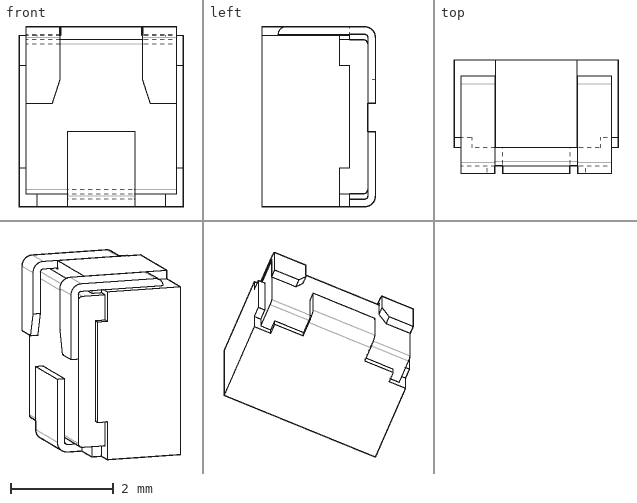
import cadquery as cq

depth = 2.21
height = 3.51

body_width = 3.2
body_top = 3.34
body_front = 0.502
notch_back = 0.702
notch_inner_x = 1.253
lower_notch_top = 0.755
upper_notch_bottom = 2.755
rib_width = 1.58

sheet = 0.15
bend_outer = 0.21
bend_inner = bend_outer - sheet

plate_width = 2.927
plate_bottom = 0.253
plate_top = 3.257
plate_fillet = 0.085

strap_inner_x = 0.805
strap_outer_x = 1.467
strap_end_y = 1.895
strap_bottom = 2.015
taper_top = 2.478
taper_inner_x = 0.955

clip_width = 1.305
clip_top = 1.465


def block(x_range, y_range, z_range):
    """Axis-aligned box between the given limits."""
    (x0, x1), (y0, y1), (z0, z1) = x_range, y_range, z_range
    return cq.Workplane("XY").box(x1 - x0, y1 - y0, z1 - z0, centered=False).translate((x0, y0, z0))


def centered_block(width, y_range, z_range):
    """Box symmetric about X = 0."""
    return block((-width / 2, width / 2), y_range, z_range)


def bent_sheet(x_range, back_y, z_range, bend_edge):
    """L-shaped sheet: a front leg and a leg running back, joined by a rounded bend."""
    z0, z1 = z_range
    outer = block(x_range, (0, back_y), z_range)
    outer = outer.faces("<Y").edges(bend_edge).fillet(bend_outer)
    if bend_edge == ">Z":
        inner_z = (z0, z1 - sheet)
    else:
        inner_z = (z0 + sheet, z1)
    inner = block(x_range, (sheet, back_y), inner_z)
    inner = inner.faces("<Y").edges(bend_edge).fillet(bend_inner)
    return outer.cut(inner)


def base_body():
    """Base block with four notched front corners and a raised pad on top."""
    body = centered_block(body_width, (body_front, depth), (0, body_top))
    half = body_width / 2
    for x_range in ((-half, -notch_inner_x), (notch_inner_x, half)):
        for z_range in ((0, lower_notch_top), (upper_notch_bottom, body_top)):
            body = body.cut(block(x_range, (body_front, notch_back), z_range))
    return body.union(centered_block(rib_width, (body_front, depth), (body_top, height)))


def front_plate():
    """Plate on the front of the base, rounded along its top and bottom front edges."""
    plate = centered_block(plate_width, (sheet, notch_back), (plate_bottom, plate_top))
    return plate.faces("<Y").edges("|X").fillet(plate_fillet)


def upper_terminal():
    """Terminal on the +X side, with a fully rounded back end and a tapered front leg."""
    strap = bent_sheet((strap_inner_x, strap_outer_x), strap_end_y, (strap_bottom, height), ">Z")
    rounded_envelope = block((strap_inner_x, strap_outer_x), (0, strap_end_y), (0, height))
    rounded_envelope = rounded_envelope.faces(">Y").edges(">Z").fillet(sheet)
    strap = strap.intersect(rounded_envelope)
    taper = (
        cq.Workplane("XZ")
        .moveTo(strap_inner_x, taper_top)
        .lineTo(taper_inner_x, strap_bottom)
        .lineTo(strap_inner_x, strap_bottom)
        .close()
        .extrude(-sheet)
    )
    return strap.cut(taper)


def lower_terminal():
    """Central terminal bent forward from the bottom of the base."""
    return bent_sheet((-clip_width / 2, clip_width / 2), notch_back, (0, clip_top), "<Z")


strap = upper_terminal()
result = (
    base_body()
    .union(front_plate())
    .union(strap)
    .union(strap.mirror("YZ"))
    .union(lower_terminal())
)